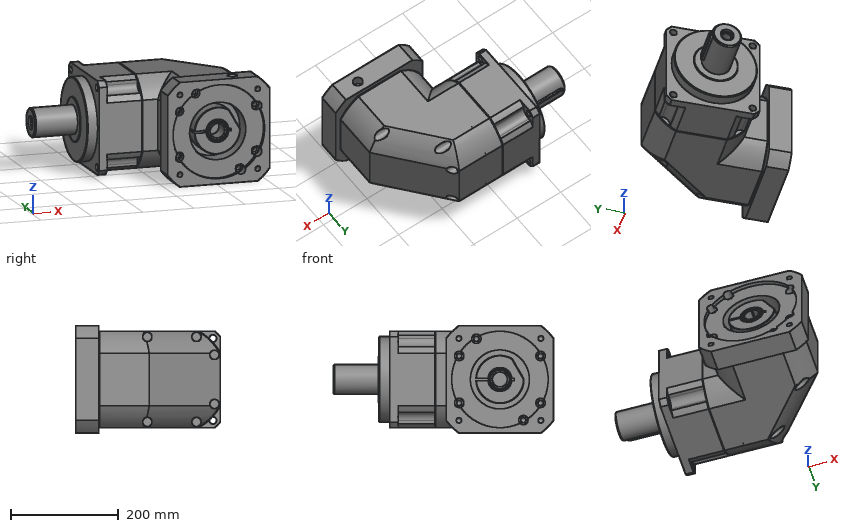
import cadquery as cq
import math


BODY_SIDE = 180.0
HALF_BODY = BODY_SIDE / 2
BODY_ROUND_R = 102.5
FLAT_HALF = math.sqrt(BODY_ROUND_R**2 - HALF_BODY**2)

OVERALL_LENGTH = 410.0
OVERALL_DEPTH = 269.0
PLATE_SIDE = 200.0
SHAFT_TIP_X = PLATE_SIDE / 2 - OVERALL_LENGTH
PLATE_FACE_Y = HALF_BODY - OVERALL_DEPTH

SHOULDER_X = SHAFT_TIP_X + 83.0
PILOT_X = SHAFT_TIP_X + 85.0
FLANGE_X = SHAFT_TIP_X + 105.0
FLANGE_BACK_X = SHAFT_TIP_X + 120.5
ELBOW_X = SHAFT_TIP_X + 189.0

SHAFT_R = 28.0
SHAFT_CHAMFER = 2.5
SHOULDER_R = 42.5
SHOULDER_CHAMFER = 1.2
CENTRE_MOUTH_R = 12.5
CENTRE_BORE_R = 10.5
CENTRE_MOUTH_DEPTH = 3.3
CENTRE_DRILL_R = 8.5
CENTRE_BORE_DEPTH = 6.5
CENTRE_DEPTH = 41.0
KEY_WIDTH = 17.2
KEY_LENGTH = 71.0
KEY_START = 5.7
KEY_TOP_Y = 31.5
KEY_HEIGHT = 10.0
KEY_CHAMFER = 1.0

PILOT_R = 80.0
PILOT_CHAMFER = 1.5
FLANGE_ROUND_R = 120.0
CORNER_HOLE_OFFSET = 76.2
FLANGE_HOLE_R = 6.5
BOLT_POCKET_R = 15.0

SLANT_START_X = -20.0
SLANT_END_Y = -42.2
SLANT_ROUND_R = 105.7
ELBOW_SCREW_CIRCLE_R = 91.5
ELBOW_SCREW_ANGLES = [30, 60, 120, 240, 300, 330]
ELBOW_SCREW_HOLE_R = 8.5
ELBOW_SCREW_SEAT_X = -82.0
SPIGOT_LENGTH = 1.2
SPIGOT_SIDE = 177.5
SPIGOT_ROUND_R = 101.2

PLATE_THICKNESS = 43.0
PLATE_ROUND_R = 126.0
PLATE_BACK_Y = PLATE_FACE_Y + PLATE_THICKNESS
RECESS_R = 89.7
RECESS_DEPTH = 7.0
PLATE_BORE_R = 55.0
TAPPED_HOLE_R = 5.0
TAPPED_HOLE_DEPTH = 20.5
DRILL_POINT_ANGLE = 59.0
PLATE_SCREW_CIRCLE_R = 87.3
PLATE_SCREW_ANGLES = [30, 120, 150, 210, 300, 330]
PLATE_SCREW_HEAD_R = 8.5
PLATE_SCREW_HEAD_DEPTH = 18.5
PLATE_SCREW_HOLE_R = 5.0
PLATE_SCREW_HOLE_DEPTH = 35.0
ACCESS_HOLE_R = 9.5
ACCESS_HOLE_X = 34.0
ACCESS_HOLE_FROM_FACE = 22.5
ACCESS_HOLE_DEPTH = 20.5

COLLAR_FACE_Y = PLATE_FACE_Y + 8.5
COLLAR_R = 44.5
COLLAR_CHAMFER = 1.0
COLLAR_FLAT_DISTANCE = 39.0
COLLAR_FLAT_ANGLE = 30.0
COLLAR_SLIT_WIDTH = 4.0
COLLAR_SLIT_END_X = 27.0
INPUT_R = 21.5
BUSHING_R = 17.5
BUSHING_BORE_R = 14.0
BUSHING_DEPTH = 32.8
SLEEVE_SLIT = 1.5
RIM_CHAMFER = 1.0


def cylinder_x(radius, x_start, x_end, y=0.0, z=0.0):
    """Cylinder along X from x_start to x_end."""
    return cq.Workplane("YZ", origin=(x_start, 0, 0)).center(y, z).circle(radius).extrude(x_end - x_start)


def cylinder_y(radius, y_start, y_end, x=0.0, z=0.0):
    """Cylinder along Y from y_start to y_end."""
    return cq.Workplane("XZ", origin=(0, y_start, 0)).center(x, z).circle(radius).extrude(y_start - y_end)


def drilled_hole_y(radius, depth, x, z):
    """Solid of a hole drilled into the motor plate face along Y, ending in a cone."""
    tip_depth = depth + radius / math.tan(math.radians(DRILL_POINT_ANGLE))
    profile = cq.Workplane("XY", origin=(x, PLATE_FACE_Y, z)).polyline(
        [(0, 0), (radius, 0), (radius, depth), (0, tip_depth)]
    )
    return profile.close().revolve(360, (0, 0, 0), (0, 1, 0))


def rounded_square_x(side, round_r, x_start, x_end):
    """Square prism along X, its corners rounded by a circle of round_r."""
    prism = cq.Workplane("YZ", origin=(x_start, 0, 0)).rect(side, side).extrude(x_end - x_start)
    return prism.intersect(cylinder_x(round_r, x_start, x_end))


def rounded_square_y(side, round_r, y_start, y_end):
    """Square prism along Y, its corners rounded by a circle of round_r."""
    prism = cq.Workplane("XZ", origin=(0, y_start, 0)).rect(side, side).extrude(y_start - y_end)
    return prism.intersect(cylinder_y(round_r, y_start, y_end))


def polar_points(radius, angles):
    """Points on a circle at the given angles in degrees."""
    return [
        (radius * math.cos(math.radians(angle)), radius * math.sin(math.radians(angle)))
        for angle in angles
    ]


def square_corners(offset):
    """Corners of a centred square with half side offset."""
    return [(u * offset, v * offset) for u in (-1, 1) for v in (-1, 1)]


def make_key():
    """Round-ended key with a chamfered top, lying along the +Y side of the shaft."""
    key = (
        cq.Workplane("XZ", origin=(0, KEY_TOP_Y, 0))
        .center(SHAFT_TIP_X + KEY_START + KEY_LENGTH / 2, 0)
        .slot2D(KEY_LENGTH, KEY_WIDTH)
        .extrude(KEY_HEIGHT)
    )
    return key.faces(">Y").chamfer(KEY_CHAMFER)


def make_output_shaft(key):
    """Shaft with a shoulder, a stepped centre hole with a drill point, and a keyway."""
    journal = cylinder_x(SHAFT_R, SHAFT_TIP_X, SHOULDER_X).faces("<X").chamfer(SHAFT_CHAMFER)
    shoulder = cylinder_x(SHOULDER_R, SHOULDER_X, FLANGE_X).faces("<X").chamfer(SHOULDER_CHAMFER)
    drill_tip = CENTRE_DEPTH + CENTRE_DRILL_R / math.tan(math.radians(DRILL_POINT_ANGLE))
    centre_hole = (
        cq.Workplane("XY", origin=(SHAFT_TIP_X, 0, 0))
        .polyline(
            [
                (0, 0),
                (0, CENTRE_MOUTH_R),
                (CENTRE_MOUTH_DEPTH, CENTRE_BORE_R),
                (CENTRE_BORE_DEPTH, CENTRE_BORE_R),
                (CENTRE_BORE_DEPTH, CENTRE_DRILL_R),
                (CENTRE_DEPTH, CENTRE_DRILL_R),
                (drill_tip, 0),
            ]
        )
        .close()
        .revolve(360, (0, 0, 0), (1, 0, 0))
    )
    return journal.union(shoulder).cut(centre_hole).cut(key)


def make_gear_housing():
    """Square housing with a round pilot, a corner-drilled flange and open bolt pockets."""
    pilot = cylinder_x(PILOT_R, PILOT_X, FLANGE_X).faces("<X").chamfer(PILOT_CHAMFER)
    flange = rounded_square_x(BODY_SIDE, FLANGE_ROUND_R, FLANGE_X, FLANGE_BACK_X)
    barrel = rounded_square_x(BODY_SIDE, BODY_ROUND_R, FLANGE_BACK_X, ELBOW_X)
    pocket_inner = CORNER_HOLE_OFFSET - BOLT_POCKET_R
    pocket_side = BODY_ROUND_R - pocket_inner
    pocket_centre = pocket_inner + pocket_side / 2
    for y_side, z_side in square_corners(1):
        hole_y = y_side * CORNER_HOLE_OFFSET
        hole_z = z_side * CORNER_HOLE_OFFSET
        flange = flange.cut(cylinder_x(FLANGE_HOLE_R, FLANGE_X, FLANGE_BACK_X, hole_y, hole_z))
        pocket = (
            cq.Workplane("YZ", origin=(FLANGE_BACK_X, 0, 0))
            .center(y_side * pocket_centre, z_side * pocket_centre)
            .rect(pocket_side, pocket_side)
            .extrude(ELBOW_X - FLANGE_BACK_X)
            .edges("|X")
            .fillet(BOLT_POCKET_R)
        )
        barrel = barrel.cut(pocket)
    shoulder_bore = cylinder_x(SHOULDER_R, PILOT_X, FLANGE_X)
    return pilot.cut(shoulder_bore).union(flange).union(barrel)


def make_slanted_back():
    """Long prism along the slanted back, with a section flat in the middle and rounded above and below."""
    run_x = HALF_BODY - SLANT_START_X
    run_y = SLANT_END_Y - HALF_BODY
    reach = 2 * BODY_SIDE
    flat_depth = math.sqrt(SLANT_ROUND_R**2 - FLAT_HALF**2)
    round_end = math.sqrt(SLANT_ROUND_R**2 - HALF_BODY**2) - flat_depth
    mid_angle = (math.asin(FLAT_HALF / SLANT_ROUND_R) + math.asin(HALF_BODY / SLANT_ROUND_R)) / 2
    mid_depth = SLANT_ROUND_R * math.cos(mid_angle) - flat_depth
    mid_z = SLANT_ROUND_R * math.sin(mid_angle)
    section_plane = cq.Plane(
        origin=(SLANT_START_X, HALF_BODY, 0), xDir=(-run_y, run_x, 0), normal=(run_x, run_y, 0)
    )
    section = (
        cq.Workplane(section_plane)
        .moveTo(0, -FLAT_HALF)
        .lineTo(0, FLAT_HALF)
        .threePointArc((mid_depth, mid_z), (round_end, HALF_BODY))
        .lineTo(-reach, HALF_BODY)
        .lineTo(-reach, -HALF_BODY)
        .lineTo(round_end, -HALF_BODY)
        .threePointArc((mid_depth, -mid_z), (0, -FLAT_HALF))
        .close()
    )
    return section.extrude(reach, both=True)


def make_elbow():
    """Two square legs meeting at a mitre, with a spigot on each end and a slanted back with screw holes."""
    output_leg = rounded_square_x(BODY_SIDE, BODY_ROUND_R, ELBOW_X + SPIGOT_LENGTH, FLAT_HALF)
    input_leg = rounded_square_y(BODY_SIDE, BODY_ROUND_R, PLATE_BACK_Y + SPIGOT_LENGTH, FLAT_HALF)
    output_spigot = rounded_square_x(SPIGOT_SIDE, SPIGOT_ROUND_R, ELBOW_X, ELBOW_X + SPIGOT_LENGTH)
    input_spigot = rounded_square_y(SPIGOT_SIDE, SPIGOT_ROUND_R, PLATE_BACK_Y, PLATE_BACK_Y + SPIGOT_LENGTH)
    elbow = output_leg.union(input_leg).intersect(make_slanted_back())
    elbow = elbow.union(output_spigot).union(input_spigot)
    for y, z in polar_points(ELBOW_SCREW_CIRCLE_R, ELBOW_SCREW_ANGLES):
        elbow = elbow.cut(cylinder_x(ELBOW_SCREW_HOLE_R, ELBOW_SCREW_SEAT_X, HALF_BODY, y, z))
    return elbow


def make_motor_plate():
    """Square plate with a recessed face, a through bore, screw holes and a clamp access hole."""
    plate = rounded_square_y(PLATE_SIDE, PLATE_ROUND_R, PLATE_FACE_Y, PLATE_BACK_Y)
    plate = plate.cut(cylinder_y(RECESS_R, PLATE_FACE_Y, PLATE_FACE_Y + RECESS_DEPTH))
    plate = plate.cut(cylinder_y(PLATE_BORE_R, PLATE_FACE_Y, PLATE_BACK_Y))
    for x, z in square_corners(CORNER_HOLE_OFFSET):
        plate = plate.cut(drilled_hole_y(TAPPED_HOLE_R, TAPPED_HOLE_DEPTH, x, z))
    for x, z in polar_points(PLATE_SCREW_CIRCLE_R, PLATE_SCREW_ANGLES):
        head_seat_y = PLATE_FACE_Y + PLATE_SCREW_HEAD_DEPTH
        plate = plate.cut(cylinder_y(PLATE_SCREW_HEAD_R, PLATE_FACE_Y, head_seat_y, x, z))
        plate = plate.cut(drilled_hole_y(PLATE_SCREW_HOLE_R, PLATE_SCREW_HOLE_DEPTH, x, z))
    access = (
        cq.Workplane("XY", origin=(ACCESS_HOLE_X, PLATE_FACE_Y + ACCESS_HOLE_FROM_FACE, PLATE_SIDE / 2))
        .circle(ACCESS_HOLE_R)
        .extrude(-ACCESS_HOLE_DEPTH)
    )
    return plate.cut(access)


def make_clamp_collar():
    """Slit clamp ring with one flat, gripping the input shaft."""
    collar = cylinder_y(COLLAR_R, COLLAR_FACE_Y, PLATE_BACK_Y)
    flat = (
        cq.Workplane("XZ", origin=(0, COLLAR_FACE_Y, 0))
        .transformed(rotate=(0, 0, COLLAR_FLAT_ANGLE))
        .center(COLLAR_FLAT_DISTANCE + COLLAR_R, 0)
        .rect(2 * COLLAR_R, 4 * COLLAR_R)
        .extrude(COLLAR_FACE_Y - PLATE_BACK_Y)
    )
    collar = collar.cut(flat).faces("<Y").chamfer(COLLAR_CHAMFER)
    collar = collar.cut(cylinder_y(INPUT_R, COLLAR_FACE_Y, PLATE_BACK_Y))
    collar = collar.faces("<Y").edges(cq.selectors.RadiusNthSelector(0)).chamfer(RIM_CHAMFER)
    slit_length = COLLAR_R + COLLAR_SLIT_END_X
    slit = (
        cq.Workplane("XZ", origin=(0, COLLAR_FACE_Y, 0))
        .center(COLLAR_SLIT_END_X - slit_length / 2, 0)
        .rect(slit_length, COLLAR_SLIT_WIDTH)
        .extrude(COLLAR_FACE_Y - PLATE_BACK_Y)
    )
    return collar.cut(slit)


def make_input_shaft():
    """Round shaft with a blind bore for the bushing and four slits through the bore wall."""
    shaft = cylinder_y(INPUT_R, COLLAR_FACE_Y, PLATE_BACK_Y).faces("<Y").chamfer(RIM_CHAMFER)
    shaft = shaft.cut(cylinder_y(BUSHING_R, COLLAR_FACE_Y, COLLAR_FACE_Y + BUSHING_DEPTH))
    for width, height in [(SLEEVE_SLIT, 2 * INPUT_R), (2 * INPUT_R, SLEEVE_SLIT)]:
        slit = cq.Workplane("XZ", origin=(0, COLLAR_FACE_Y, 0)).rect(width, height).extrude(-BUSHING_DEPTH)
        shaft = shaft.cut(slit)
    return shaft


def make_bushing():
    """Slit sleeve that lines the bore of the input shaft."""
    end_y = COLLAR_FACE_Y + BUSHING_DEPTH
    bushing = cylinder_y(BUSHING_R, COLLAR_FACE_Y, end_y)
    bushing = bushing.cut(cylinder_y(BUSHING_BORE_R, COLLAR_FACE_Y, end_y))
    slit = (
        cq.Workplane("XZ", origin=(0, COLLAR_FACE_Y, 0))
        .center(0, BUSHING_R / 2)
        .rect(SLEEVE_SLIT, BUSHING_R)
        .extrude(-BUSHING_DEPTH)
    )
    return bushing.cut(slit)


key = make_key()
output_shaft = make_output_shaft(key)
gear_housing = make_gear_housing()
elbow = make_elbow()
motor_plate = make_motor_plate()
clamp_collar = make_clamp_collar()
input_shaft = make_input_shaft()
bushing = make_bushing()

bodies = [key, output_shaft, gear_housing, elbow, motor_plate, clamp_collar, input_shaft, bushing]
result = cq.Compound.makeCompound([body.val() for body in bodies])